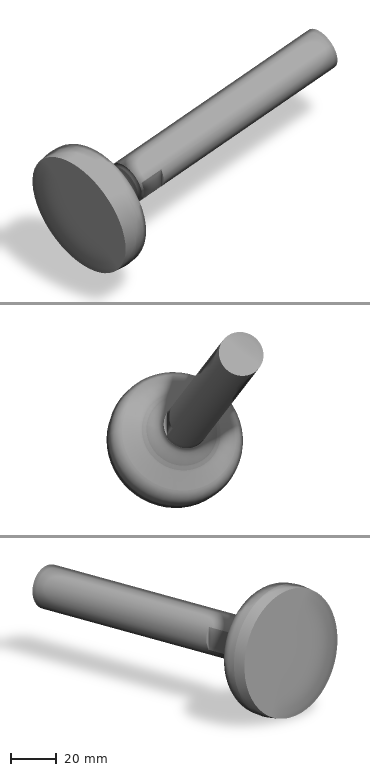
import cadquery as cq
import math

overall_length = 148.0

base_diameter = 60.0
ground_radius = 29.3
widest_height = 5.8
shoulder_height = 8.9
shoulder_outer_radius = 29.7
shoulder_round = 7.5
slope_angle = 27.0
collar_height = 19.7
seat_height = 21.0

rod_diameter = 20.0
rod_radius = rod_diameter / 2
dome_radius = 20.9
dome_center_height = 7.4
dome_top_height = 26.3
lip_height = 26.8
lip_radius = 9.5
groove_height = 27.8
groove_radius = 8.3
rod_start = 28.5

flat_start = 29.9
flat_length = 12.0
across_flats = 17.0


def dome_radius_at(height):
    """Distance from the axis to the dome surface at a given height."""
    return math.sqrt(dome_radius**2 - (height - dome_center_height) ** 2)


def revolve_about_y(profile):
    return profile.close().revolve(360, (0, 0, 0), (0, 1, 0))


def make_base():
    round_center = shoulder_outer_radius - shoulder_round

    def shoulder_point(angle):
        """Point on the shoulder round, angle measured up from horizontal."""
        turn = math.radians(angle)
        return (
            round_center + shoulder_round * math.cos(turn),
            shoulder_height + shoulder_round * math.sin(turn),
        )

    tangent_angle = 90 - slope_angle
    flank_bottom = shoulder_point(tangent_angle)
    flank_rise = collar_height - flank_bottom[1]
    collar_radius = flank_bottom[0] - flank_rise / math.tan(math.radians(slope_angle))

    profile = (
        cq.Workplane("XY")
        .lineTo(ground_radius, 0)
        .lineTo(base_diameter / 2, widest_height)
        .lineTo(*shoulder_point(0))
        .threePointArc(shoulder_point(tangent_angle / 2), flank_bottom)
        .lineTo(collar_radius, collar_height)
        .lineTo(dome_radius_at(seat_height), seat_height)
        .lineTo(0, seat_height)
    )
    return revolve_about_y(profile)


def make_spindle():
    dome_middle = (seat_height + dome_top_height) / 2
    profile = (
        cq.Workplane("XY")
        .moveTo(0, seat_height)
        .lineTo(dome_radius_at(seat_height), seat_height)
        .threePointArc(
            (dome_radius_at(dome_middle), dome_middle),
            (dome_radius_at(dome_top_height), dome_top_height),
        )
        .lineTo(lip_radius, lip_height)
        .threePointArc((groove_radius, groove_height), (rod_radius, rod_start))
        .lineTo(rod_radius, overall_length)
        .lineTo(0, overall_length)
    )
    return cut_wrench_flats(revolve_about_y(profile))


def cut_wrench_flats(spindle):
    """Mill two opposite flats, facing -X and +X, into the rod."""
    flat_middle = flat_start + flat_length / 2
    for side in (-1, 1):
        cutter = cq.Workplane("XY").box(rod_radius, flat_length, 2 * rod_radius)
        offset = side * (across_flats + rod_radius) / 2
        spindle = spindle.cut(cutter.translate((offset, flat_middle, 0)))
    return spindle


base = make_base()
spindle = make_spindle()

result = cq.Compound.makeCompound([base.val(), spindle.val()])